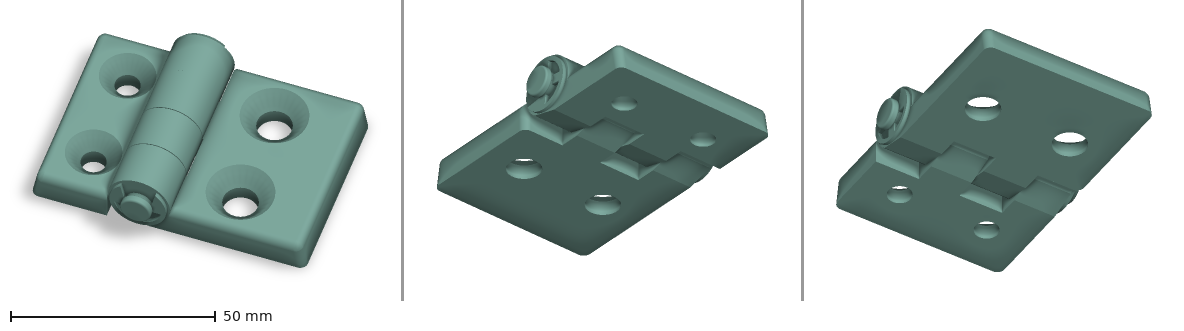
import cadquery as cq
import math


leaf_length = 48.0
leaf_thickness = 7.95
edge_radius = 2.0
edge_draft = 10

left_reach = 27.95
left_back = 23.55
left_front = left_back - leaf_length
right_reach = 43.0
right_front = -24.05
right_back = right_front + leaf_length

barrel_radius = 8.0
axis_height = 8.45
recess_reach = 8.2
knuckle_gap = 0.2
knuckle_1_front = 11.9
knuckle_2_front = -0.15
knuckle_3_back = knuckle_2_front - knuckle_gap
knuckle_3_front = -12.0
knuckle_4_back = knuckle_3_front - knuckle_gap

relief_angle = 15
relief_start = 2.6

screw_spacing = 25.0
countersink_angle = 90
left_screw_reach = 15.7
left_screw_radius = 3.2
left_sink_radius = 7.0
right_screw_reach = 22.2
right_screw_radius = 4.5
right_sink_radius = 8.5

pin_radius = 4.0
pin_half_length = 27.1
head_length = 2.0
head_rounding = 0.5
groove_radius = pin_radius - head_rounding
head_start = pin_half_length - head_length

clip_thickness = 1.1
clip_radius = 7.3
window_radius = 6.1
window_drop = 1.1
tab_half_width = 1.3
mouth_half_width = 3.2
mouth_flare = 13
back_clip_turn = 83

cut_margin = 0.7


def box(x_min, x_max, y_min, y_max, z_min, z_max):
    """Axis-aligned box given by its limits."""
    return (cq.Workplane("XY")
            .box(x_max - x_min, y_max - y_min, z_max - z_min, centered=False)
            .translate((x_min, y_min, z_min)))


def cylinder_along_y(radius, y_back, y_front):
    """Cylinder on the hinge axis."""
    return (cq.Workplane("XZ", origin=(0, y_back, axis_height))
            .circle(radius)
            .extrude(y_back - y_front))


def make_plate(side, reach, back, front):
    """Leaf plate from the axis to its sloped, rounded outer end; side is -1 or +1 in X."""
    top_reach = reach - leaf_thickness * math.tan(math.radians(edge_draft))
    plate = (cq.Workplane("XZ", origin=(0, back, 0))
             .polyline([(0, 0), (side * reach, 0), (side * top_reach, leaf_thickness), (0, leaf_thickness)])
             .close()
             .extrude(back - front))
    far_x = side * (reach + cut_margin)
    far_y = back + cut_margin
    near_y = front - cut_margin
    corners = cq.selectors.BoxSelector(
        (side * (reach - leaf_thickness), near_y, cut_margin),
        (far_x, far_y, leaf_thickness - cut_margin))
    plate = plate.edges(corners).edges("not |Y").fillet(edge_radius)
    rim = cq.selectors.BoxSelector(
        (side * cut_margin, near_y, leaf_thickness - cut_margin),
        (far_x, far_y, leaf_thickness + cut_margin))
    return plate.faces(">Z").edges(rim).fillet(edge_radius)


def cut_recess(leaf, side, back, front):
    """Clear the space taken by a knuckle of the other leaf."""
    x_limits = sorted((0, side * recess_reach))
    return leaf.cut(box(*x_limits, front, back, -cut_margin, leaf_thickness + cut_margin))


def round_recess_corner(leaf, back):
    """Round the upright edge where the recess of knuckle 1 meets the back of the right leaf."""
    center_x = recess_reach + edge_radius
    center_y = back - edge_radius
    corner = box(recess_reach, center_x, center_y, back, 0, leaf_thickness)
    keep = cq.Workplane("XY", origin=(center_x, center_y, 0)).circle(edge_radius).extrude(leaf_thickness)
    return leaf.cut(corner.cut(keep))


def add_knuckle(leaf, back, front):
    """Add a solid knuckle; the pin bore is cut later."""
    return leaf.union(cylinder_along_y(barrel_radius, back, front))


def cut_relief(leaf, side, back, front):
    """Slope the underside of the knuckles up from the plate toward the far side."""
    run = relief_start + barrel_radius + cut_margin
    rise = run * math.tan(math.radians(relief_angle))
    start = side * relief_start
    end = start - side * run
    wedge = (cq.Workplane("XZ", origin=(0, back + cut_margin, 0))
             .polyline([(start, 0), (end, rise), (end, -cut_margin), (start, -cut_margin)])
             .close()
             .extrude(back - front + 2 * cut_margin))
    return leaf.cut(wedge)


def cut_screw_holes(leaf, x, back, front, hole_radius, sink_radius):
    """Two countersunk holes, spaced evenly about the middle of the leaf."""
    sink_depth = (sink_radius - hole_radius) / math.tan(math.radians(countersink_angle / 2))
    middle = (back + front) / 2
    for y in (middle - screw_spacing / 2, middle + screw_spacing / 2):
        top = cq.Vector(x, y, leaf_thickness)
        down = cq.Vector(0, 0, -1)
        leaf = leaf.cut(cq.Workplane(cq.Solid.makeCylinder(hole_radius, leaf_thickness, top, down)))
        leaf = leaf.cut(cq.Workplane(cq.Solid.makeCone(sink_radius, hole_radius, sink_depth, top, down)))
    return leaf


def make_left_leaf():
    """Smaller leaf, with knuckles 1 and 3."""
    side = -1
    leaf = make_plate(side, left_reach, left_back, left_front)
    leaf = cut_screw_holes(leaf, side * left_screw_reach, left_back, left_front,
                           left_screw_radius, left_sink_radius)
    leaf = cut_recess(leaf, side, knuckle_1_front, knuckle_3_back)
    leaf = cut_recess(leaf, side, knuckle_3_front, left_front - cut_margin)
    leaf = add_knuckle(leaf, left_back, knuckle_1_front)
    leaf = add_knuckle(leaf, knuckle_3_back, knuckle_3_front)
    leaf = cut_relief(leaf, side, left_back, left_front)
    return leaf.cut(cylinder_along_y(pin_radius, left_back + cut_margin, left_front - cut_margin))


def make_right_leaf():
    """Larger leaf, with knuckles 2 and 4."""
    side = 1
    leaf = make_plate(side, right_reach, right_back, right_front)
    leaf = cut_screw_holes(leaf, side * right_screw_reach, right_back, right_front,
                           right_screw_radius, right_sink_radius)
    leaf = cut_recess(leaf, side, right_back + cut_margin, knuckle_1_front)
    leaf = cut_recess(leaf, side, knuckle_2_front, knuckle_4_back)
    leaf = round_recess_corner(leaf, right_back)
    leaf = add_knuckle(leaf, knuckle_1_front, knuckle_2_front)
    leaf = add_knuckle(leaf, knuckle_4_back, right_front)
    leaf = cut_relief(leaf, side, right_back, right_front)
    return leaf.cut(cylinder_along_y(pin_radius, right_back + cut_margin, right_front - cut_margin))


def make_pin():
    """Shaft as long as the barrel, then a groove and a rounded head beyond each end."""
    pin = cylinder_along_y(pin_radius, left_back, right_front)
    pin = pin.union(cylinder_along_y(groove_radius, head_start, -head_start))
    for back in (pin_half_length, -head_start):
        head = cylinder_along_y(pin_radius, back, back - head_length).edges().fillet(head_rounding)
        pin = pin.union(head)
    return pin


def make_clip(back, turn):
    """E-shaped clip with its mouth up, turned about the hinge axis toward +X."""
    front = back - clip_thickness
    clip = cylinder_along_y(clip_radius, back, front).cut(cylinder_along_y(groove_radius, back, front))
    flare = clip_radius * math.tan(math.radians(mouth_flare))
    top = mouth_half_width + flare
    left_side = [(-mouth_half_width, 0), (-top, clip_radius)]
    right_side = [(top, clip_radius), (mouth_half_width, 0)]
    mouth = (cq.Workplane("XZ", origin=(0, back, axis_height))
             .polyline(left_side + right_side)
             .close()
             .extrude(clip_thickness))
    windows = cylinder_along_y(window_radius, back, front)
    windows = windows.cut(box(-clip_radius, clip_radius, front, back,
                              axis_height - window_drop, axis_height + clip_radius))
    windows = windows.cut(box(-tab_half_width, tab_half_width, front, back, 0, axis_height))
    clip = clip.cut(mouth).cut(windows)
    return clip.rotate((0, 0, axis_height), (0, 1, axis_height), turn)


left_leaf = make_left_leaf()
right_leaf = make_right_leaf()
pin = make_pin()
clip_places = [(left_back + clip_thickness, back_clip_turn), (right_front, 0)]
clips = [make_clip(back, turn) for back, turn in clip_places]

bodies = [left_leaf, right_leaf, pin, *clips]
result = cq.Compound.makeCompound([body.solids().val() for body in bodies])